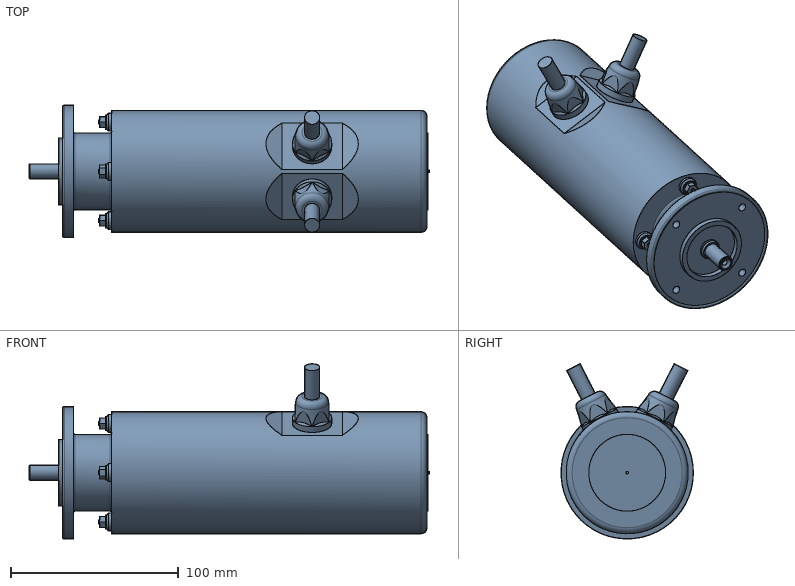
import cadquery as cq
import math

PILOT_X = 17.7
FLANGE_X = 21.0
NECK_X = 26.5
BODY_X = 49.2
BODY_END_X = 237.5
REAR_CAP_X = 238.3
TOTAL_LENGTH = 239.0

BODY_DIA = 73.0
NECK_DIA = 46.0
FLANGE_DIA = 79.0
FLANGE_BEAD_INNER_DIA = 75.0
PILOT_DIA = 40.0
PILOT_RECESS_DIA = 34.0
SHAFT_DIA = 9.0
SHAFT_CHAMFER = 0.5
REAR_NUB_DIA = 1.5

BODY_END_FILLET = 3.5
NECK_FILLET = 1.0

SHAFT_COLLAR_DIA = 12.0
SHAFT_COLLAR_FACE_DIA = 10.8
SHAFT_COLLAR_X = 18.2
SHAFT_COLLAR_SHOULDER_X = 19.5
CENTRE_HOLE_DIA = 3.3
CENTRE_HOLE_MOUTH_DIA = 6.7
CENTRE_HOLE_DEPTH = 4.8
DRILL_POINT_ANGLE = 118.0

FLANGE_HOLE_DIA = 4.5
FLANGE_HOLE_CIRCLE_RADIUS = 31.5

SCREW_CIRCLE_RADIUS = 29.5
WASHER_DIA = 10.8
WASHER_RIM = 1.7
COLLAR_DIA = 8.5
COLLAR_X = 45.6
COLLAR_END_X = 46.4
NUT_CORNER_DIA = 7.6
NUT_X = 42.0
STUD_DIA = 2.5
STUD_X = 41.3
QUARTER_TURNS = (0, 90, 180, 270)

GLAND_X = 169.0
GLAND_TILT = 27.0
SEAT_HEIGHT = 33.0
SEAT_LENGTH = 36.0
SEAT_END_ANGLE = 20.0
GLAND_ACROSS_FLATS = 20.3
GLAND_BASE_RADIUS = GLAND_ACROSS_FLATS / 2 / math.cos(math.radians(30))
GLAND_BASE_THICKNESS = 3.8
GLAND_BEVEL_HEIGHT = 1.2
GLAND_SHOULDER_RADIUS = 9.8
GLAND_SHOULDER_HEIGHT = 47.3
GLAND_TOP_RADIUS = 6.0
GLAND_DOME_RADIUS = GLAND_SHOULDER_RADIUS - GLAND_TOP_RADIUS
GLAND_TOP_HEIGHT = GLAND_SHOULDER_HEIGHT + GLAND_DOME_RADIUS
CABLE_DIA = 9.0
CABLE_END_HEIGHT = 70.7


def disc(diameter, start_x, end_x):
    """Cylinder on the motor axis between two X positions."""
    return cq.Workplane("YZ").workplane(offset=start_x).circle(diameter / 2).extrude(end_x - start_x)


def cone(start_dia, end_dia, start_x, end_x):
    """Truncated cone on the motor axis."""
    solid = cq.Solid.makeCone(
        start_dia / 2, end_dia / 2, end_x - start_x, cq.Vector(start_x, 0, 0), cq.Vector(1, 0, 0)
    )
    return cq.Workplane(obj=solid)


def tilt(shape, side):
    """Lean an upright shape about the motor axis towards +Y (side 1) or -Y (side -1)."""
    return shape.rotate((0, 0, 0), (1, 0, 0), -side * GLAND_TILT)


def motor_shell():
    """Body, neck, flange and pilot turned about the motor axis."""
    body = disc(BODY_DIA, BODY_X, BODY_END_X).faces(">X").edges().fillet(BODY_END_FILLET)
    flange = disc(FLANGE_DIA, FLANGE_X, NECK_X).union(flange_bead())
    neck = turned_neck()
    pilot = disc(PILOT_DIA, PILOT_X, FLANGE_X)
    rear_cap = disc(NECK_DIA, BODY_END_X, REAR_CAP_X)
    rear_nub = disc(REAR_NUB_DIA, REAR_CAP_X, TOTAL_LENGTH)
    return body.union(neck).union(flange).union(pilot).union(rear_cap).union(rear_nub)


def flange_bead():
    """Half-round bead along the rim of the flange face."""
    inner_radius = FLANGE_BEAD_INNER_DIA / 2
    outer_radius = FLANGE_DIA / 2
    bead_radius = (outer_radius - inner_radius) / 2
    return (
        cq.Workplane("XY")
        .moveTo(FLANGE_X, inner_radius)
        .threePointArc((FLANGE_X - bead_radius, inner_radius + bead_radius), (FLANGE_X, outer_radius))
        .close()
        .revolve(360, (0, 0, 0), (1, 0, 0))
    )


def turned_neck():
    """Neck with a concave fillet at each end."""
    radius = NECK_DIA / 2
    foot_radius = radius + NECK_FILLET
    return (
        cq.Workplane("XY")
        .moveTo(NECK_X, 0)
        .lineTo(NECK_X, foot_radius)
        .radiusArc((NECK_X + NECK_FILLET, radius), -NECK_FILLET)
        .lineTo(BODY_X - NECK_FILLET, radius)
        .radiusArc((BODY_X, foot_radius), -NECK_FILLET)
        .lineTo(BODY_X, 0)
        .close()
        .revolve(360, (0, 0, 0), (1, 0, 0))
    )


def shaft_collar():
    """Collar on the recess floor, tapering towards the shaft tip."""
    ring = disc(SHAFT_COLLAR_DIA, SHAFT_COLLAR_SHOULDER_X, FLANGE_X)
    taper = cone(SHAFT_COLLAR_FACE_DIA, SHAFT_COLLAR_DIA, SHAFT_COLLAR_X, SHAFT_COLLAR_SHOULDER_X)
    return ring.union(taper)


def centre_hole():
    """Drilled centre hole in the shaft tip, with a countersunk mouth and a drill point."""
    mouth_depth = (CENTRE_HOLE_MOUTH_DIA - CENTRE_HOLE_DIA) / 2
    point_depth = CENTRE_HOLE_DIA / 2 / math.tan(math.radians(DRILL_POINT_ANGLE / 2))
    mouth = cone(CENTRE_HOLE_MOUTH_DIA, CENTRE_HOLE_DIA, 0, mouth_depth)
    point = cone(CENTRE_HOLE_DIA, 0, CENTRE_HOLE_DEPTH, CENTRE_HOLE_DEPTH + point_depth)
    return disc(CENTRE_HOLE_DIA, 0, CENTRE_HOLE_DEPTH).union(mouth).union(point)


def shaft():
    """Output shaft with a chamfered, centre-drilled tip."""
    rod = disc(SHAFT_DIA, 0, FLANGE_X).faces("<X").edges().chamfer(SHAFT_CHAMFER)
    return rod.cut(centre_hole())


def flange_holes():
    """Four mounting holes on the diagonals of the flange."""
    return (
        cq.Workplane("YZ")
        .workplane(offset=FLANGE_X)
        .polarArray(FLANGE_HOLE_CIRCLE_RADIUS, 45, 360, 4)
        .circle(FLANGE_HOLE_DIA / 2)
        .extrude(NECK_X - FLANGE_X)
    )


def tie_screw():
    """Washer, collar, hexagon nut and stud end, standing above the motor axis."""
    washer_rim_x = BODY_X - WASHER_RIM
    nut = cq.Workplane("YZ").workplane(offset=NUT_X).polygon(6, NUT_CORNER_DIA).extrude(COLLAR_X - NUT_X)
    screw = (
        disc(WASHER_DIA, washer_rim_x, BODY_X)
        .union(cone(COLLAR_DIA, WASHER_DIA, COLLAR_END_X, washer_rim_x))
        .union(disc(COLLAR_DIA, COLLAR_X, COLLAR_END_X))
        .union(nut)
        .union(disc(STUD_DIA, STUD_X, NUT_X))
    )
    return screw.translate((0, 0, SCREW_CIRCLE_RADIUS))


def gland_seat(side):
    """Cutter for a flat gland seat whose two ends run out at a shallow angle."""
    rise = BODY_DIA / 2 - SEAT_HEIGHT
    runout = rise / math.tan(math.radians(SEAT_END_ANGLE))
    half_length = SEAT_LENGTH / 2
    cutter = (
        cq.Workplane("XZ")
        .polyline([
            (GLAND_X - half_length, SEAT_HEIGHT),
            (GLAND_X + half_length, SEAT_HEIGHT),
            (GLAND_X + half_length + runout, SEAT_HEIGHT + rise),
            (GLAND_X - half_length - runout, SEAT_HEIGHT + rise),
        ])
        .close()
        .extrude(BODY_DIA / 2, both=True)
    )
    return tilt(cutter, side)


def make_motor():
    """Motor housing with its flange, shaft and tie screws."""
    motor = motor_shell()
    motor = motor.cut(disc(PILOT_RECESS_DIA, PILOT_X, FLANGE_X))
    motor = motor.union(shaft_collar()).union(shaft())
    motor = motor.cut(flange_holes())
    for side in (-1, 1):
        motor = motor.cut(gland_seat(side))
    for angle in QUARTER_TURNS:
        motor = motor.union(tie_screw().rotate((0, 0, 0), (1, 0, 0), angle))
    return motor


def make_gland(side):
    """Domed hexagon cable gland with its cable, standing on a tilted seat."""
    base_top = SEAT_HEIGHT + GLAND_BASE_THICKNESS
    nut = (
        cq.Workplane("XZ")
        .moveTo(0, base_top)
        .lineTo(GLAND_BASE_RADIUS, base_top)
        .lineTo(GLAND_SHOULDER_RADIUS, GLAND_SHOULDER_HEIGHT)
        .radiusArc((GLAND_TOP_RADIUS, GLAND_TOP_HEIGHT), -GLAND_DOME_RADIUS)
        .lineTo(0, GLAND_TOP_HEIGHT)
        .close()
        .revolve(360, (0, 0, 0), (0, 1, 0))
    )
    hexagon = (
        cq.Workplane("XY")
        .workplane(offset=base_top)
        .transformed(rotate=(0, 0, 90))
        .polygon(6, 2 * GLAND_BASE_RADIUS)
        .extrude(GLAND_TOP_HEIGHT - base_top)
    )
    base = (
        cq.Workplane("XZ")
        .moveTo(0, SEAT_HEIGHT)
        .lineTo(GLAND_BASE_RADIUS, SEAT_HEIGHT)
        .lineTo(GLAND_BASE_RADIUS, base_top)
        .lineTo(GLAND_ACROSS_FLATS / 2, base_top + GLAND_BEVEL_HEIGHT)
        .lineTo(0, base_top + GLAND_BEVEL_HEIGHT)
        .close()
        .revolve(360, (0, 0, 0), (0, 1, 0))
    )
    cable = (
        cq.Workplane("XY")
        .workplane(offset=base_top)
        .circle(CABLE_DIA / 2)
        .extrude(CABLE_END_HEIGHT - base_top)
    )
    gland = nut.intersect(hexagon).union(base).union(cable)
    return tilt(gland.translate((GLAND_X, 0, 0)), side)


motor = make_motor()
glands = [make_gland(side) for side in (-1, 1)]

result = cq.Compound.makeCompound([motor.val(), *[gland.val() for gland in glands]])